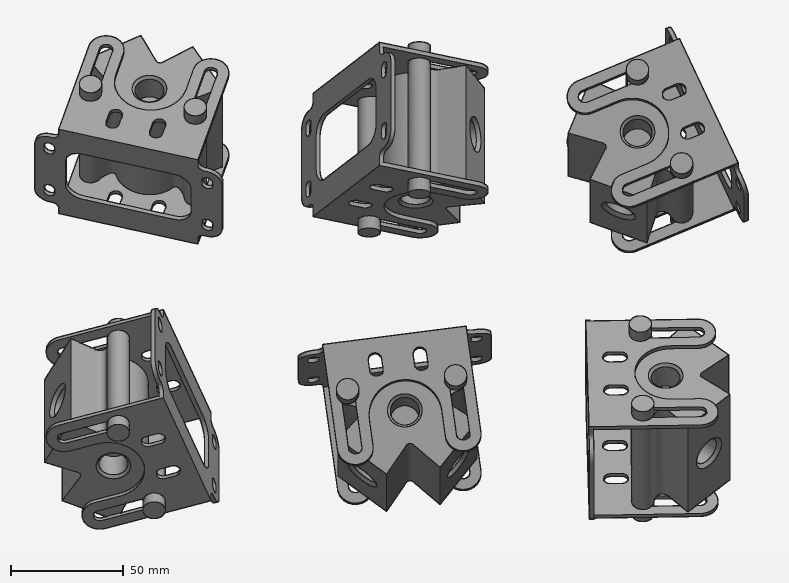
import cadquery as cq
import math

TURN = -45.0
SHEET = 2.0
BRACKET_HEIGHT = 60.0
INNER_HEIGHT = BRACKET_HEIGHT - 2 * SHEET
BACK_FACE = 34.9
ARM_OFFSET = 24.3
ARM_RADIUS = 8.0
PLATE_WIDTH = 2 * (ARM_OFFSET + ARM_RADIUS)
ARM_TIP = -14.8
THROAT_RADIUS = ARM_OFFSET - ARM_RADIUS
THROAT_CENTER = -2.55
SLOT_WIDTH = 6.0
PLATE_SLOT_DEPTH = 22.4
PLATE_SLOT_OFFSET = 10.1
PLATE_SLOT_LENGTH = 11.0

TAB_WIDTH = 86.8
TAB_HEIGHT = 46.1
TAB_RADIUS = 7.0
NECK_RADIUS = 3.0
WINDOW_WIDTH = 58.25
WINDOW_HEIGHT = 32.0
WINDOW_RADIUS = 8.0
TAB_SLOT_OFFSET = 36.7
TAB_SLOT_Z = 14.8
TAB_SLOT_WIDTH = 5.0
TAB_SLOT_LENGTH = 7.6

PIN_RADIUS = 5.0
PIN_LENGTH = 6.0
PIN_DEPTH = 10.7

SIDE_FACE = 28.7
FACE_INNER_END = 11.65
FACE_OUTER_END = -15.6
NOTCH_CORNER = 10.3
HUB_RADIUS = 15.6
EAR_RADIUS = PIN_RADIUS
EAR_X = (PIN_DEPTH - ARM_OFFSET) / math.sqrt(2)
EAR_Y = -(PIN_DEPTH + ARM_OFFSET) / math.sqrt(2)
NECK_OUTER = -12.0
NECK_INNER = -5.7
FLANK_END_Y = -14.4
NOTCH_FILLET = 2.0
FLANK_FILLET = 3.0
EAR_OUTER_FILLET = 6.0
EAR_INNER_FILLET = 10.9
HUB_FILLET = 1.8

HOLE_RADIUS = 6.5
HOLE_DEPTH = 13.65
END_HOLE_MOUTH = 7.7
SIDE_HOLE_MOUTH = 8.1
SIDE_HOLE_OFFSET = (FACE_INNER_END + FACE_OUTER_END) / 2


def mirrored(point):
    """Reflect a point in the diagonal y = -x."""
    x, y = point
    return (-y, -x)


def slotted_plate(bottom):
    """Horizontal plate with two slotted arms, a round throat between them and two short slots."""
    arm_length = BACK_FACE - ARM_TIP
    plate = cq.Workplane("XY").workplane(offset=bottom)
    body = (
        plate.center(ARM_TIP + arm_length / 2, 0).rect(arm_length, PLATE_WIDTH).extrude(SHEET)
    )
    throat_length = THROAT_CENTER - ARM_TIP
    throat = (
        plate.center(ARM_TIP + throat_length / 2, 0)
        .rect(throat_length, 2 * THROAT_RADIUS)
        .extrude(SHEET)
        .union(plate.center(THROAT_CENTER, 0).circle(THROAT_RADIUS).extrude(SHEET))
    )
    body = body.cut(throat)
    arm_sides = [(ARM_TIP, -ARM_OFFSET), (ARM_TIP, ARM_OFFSET)]
    body = body.union(plate.pushPoints(arm_sides).circle(ARM_RADIUS).extrude(SHEET))

    slot_travel = PIN_DEPTH - ARM_TIP
    slot_middle = (PIN_DEPTH + ARM_TIP) / 2
    arm_slots = (
        plate.pushPoints([(slot_middle, -ARM_OFFSET), (slot_middle, ARM_OFFSET)])
        .slot2D(slot_travel + SLOT_WIDTH, SLOT_WIDTH)
        .extrude(SHEET)
    )
    short_slots = (
        plate.pushPoints([(PLATE_SLOT_DEPTH, -PLATE_SLOT_OFFSET), (PLATE_SLOT_DEPTH, PLATE_SLOT_OFFSET)])
        .slot2D(PLATE_SLOT_LENGTH, SLOT_WIDTH)
        .extrude(SHEET)
    )
    return body.cut(arm_slots).cut(short_slots)


def back_wall():
    """Vertical wall with a rounded tab on each side, a window and four slots."""
    wall = cq.Workplane("YZ").workplane(offset=BACK_FACE - SHEET)
    tabs = wall.rect(TAB_WIDTH, TAB_HEIGHT).extrude(SHEET).edges("|X").fillet(TAB_RADIUS)
    body = wall.rect(PLATE_WIDTH, BRACKET_HEIGHT).extrude(SHEET).union(tabs)
    for y in (-PLATE_WIDTH / 2, PLATE_WIDTH / 2):
        for z in (-TAB_HEIGHT / 2, TAB_HEIGHT / 2):
            corner = cq.NearestToPointSelector((BACK_FACE - SHEET / 2, y, z))
            body = body.edges("|X").edges(corner).fillet(NECK_RADIUS)
    window = (
        wall.rect(WINDOW_WIDTH, WINDOW_HEIGHT).extrude(SHEET).edges("|X").fillet(WINDOW_RADIUS)
    )
    tab_slots = (
        wall.rect(2 * TAB_SLOT_OFFSET, 2 * TAB_SLOT_Z, forConstruction=True)
        .vertices()
        .slot2D(TAB_SLOT_LENGTH, TAB_SLOT_WIDTH, 90)
        .extrude(SHEET)
    )
    return body.cut(window).cut(tab_slots)


def make_bracket():
    """Bent sheet bracket: two slotted plates joined by the back wall."""
    bracket = back_wall()
    for bottom in (-BRACKET_HEIGHT / 2, BRACKET_HEIGHT / 2 - SHEET):
        bracket = bracket.union(slotted_plate(bottom))
    return bracket.rotate((0, 0, 0), (0, 0, 1), TURN)


def block_body():
    """Prism with two flat outer faces, a notch between them, a round hub and two ears on necks."""
    base = cq.Workplane("XY").workplane(offset=-INNER_HEIGHT / 2)
    neck_middle = (NECK_OUTER + NECK_INNER) / 2
    half_outline = [
        (-SIDE_FACE, FACE_INNER_END),
        (-SIDE_FACE, FACE_OUTER_END),
        (NECK_OUTER, FLANK_END_Y),
        (neck_middle, FLANK_END_Y),
    ]
    other_half = [mirrored(point) for point in reversed(half_outline)]
    notch = (-NOTCH_CORNER, NOTCH_CORNER)
    body = base.polyline(half_outline + other_half).close().extrude(INNER_HEIGHT)
    body = body.union(base.circle(HUB_RADIUS).extrude(INNER_HEIGHT))
    notch_outline = [half_outline[0], notch, other_half[-1]]
    body = body.cut(base.polyline(notch_outline).close().extrude(INNER_HEIGHT))

    neck_outline = [(NECK_OUTER, 0), (NECK_OUTER, EAR_Y), (NECK_INNER, EAR_Y), (NECK_INNER, 0)]
    for place in (tuple, mirrored):
        neck = base.polyline([place(point) for point in neck_outline]).close().extrude(INNER_HEIGHT)
        ear = base.center(*place((EAR_X, EAR_Y))).circle(EAR_RADIUS).extrude(INNER_HEIGHT)
        body = body.union(neck).union(ear)
    return body


def round_block_corners(body):
    """Fillet the inward corners that run the full height of the block."""
    def neck_meets_ear(x):
        return (x, EAR_Y + math.sqrt(EAR_RADIUS**2 - (x - EAR_X) ** 2))

    hub_corner = (NECK_INNER, -math.sqrt(HUB_RADIUS**2 - NECK_INNER**2))
    corners = [((-NOTCH_CORNER, NOTCH_CORNER), NOTCH_FILLET)]
    for place in (tuple, mirrored):
        corners += [
            (place((NECK_OUTER, FLANK_END_Y)), FLANK_FILLET),
            (place(neck_meets_ear(NECK_OUTER)), EAR_OUTER_FILLET),
            (place(hub_corner), HUB_FILLET),
            (place(neck_meets_ear(NECK_INNER)), EAR_INNER_FILLET),
        ]
    for (x, y), radius in corners:
        body = body.edges("|Z").edges(cq.NearestToPointSelector((x, y, 0))).fillet(radius)
    return body


def blind_hole(mouth, inward, mouth_radius):
    """Cutter for a flat-bottomed hole with a 45 degree chamfer at its mouth."""
    chamfer = mouth_radius - HOLE_RADIUS
    bore = cq.Solid.makeCylinder(HOLE_RADIUS, HOLE_DEPTH, mouth, inward)
    return bore.fuse(cq.Solid.makeCone(mouth_radius, HOLE_RADIUS, chamfer, mouth, inward))


def make_block():
    """Block with a blind hole in each end and in each flat outer face."""
    block = round_block_corners(block_body())
    for side in (-1, 1):
        mouth = cq.Vector(0, 0, side * INNER_HEIGHT / 2)
        block = block.cut(blind_hole(mouth, cq.Vector(0, 0, -side), END_HOLE_MOUTH))
    for place in (tuple, mirrored):
        mouth = cq.Vector(*place((-SIDE_FACE, SIDE_HOLE_OFFSET)), 0)
        block = block.cut(blind_hole(mouth, cq.Vector(*place((1, 0)), 0), SIDE_HOLE_MOUTH))
    return block


def make_pin(center, bottom):
    """Plain round pin standing on Z."""
    return cq.Workplane("XY").workplane(offset=bottom).center(*center).circle(PIN_RADIUS).extrude(PIN_LENGTH)


bracket = make_bracket()
block = make_block()
pins = []
for ear_center in ((EAR_X, EAR_Y), mirrored((EAR_X, EAR_Y))):
    for pin_bottom in (-BRACKET_HEIGHT / 2 - PIN_LENGTH, BRACKET_HEIGHT / 2):
        pins.append(make_pin(ear_center, pin_bottom).val())

result = cq.Compound.makeCompound([bracket.val(), block.val(), *pins])